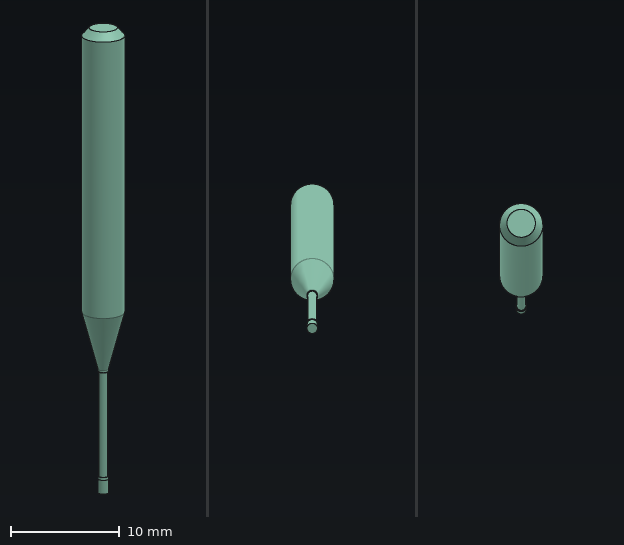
import cadquery as cq

total_length = 45.0
cutter_length = 1.35
neck_start = 1.6
neck_end = 11.75
taper_start = 11.95
taper_end = 17.5

shank_diameter = 4.0
shank_end_diameter = 2.6
cutter_diameter = 1.0
neck_diameter = 0.85

shank_chamfer_height = 0.75


def make_cutter():
    """Plain cylindrical envelope of the cutting head."""
    return cq.Workplane("XY").circle(cutter_diameter / 2).extrude(cutter_length)


def make_holder():
    """Chamfered shank, taper and relieved neck, revolved about the tool axis."""
    shank_radius = shank_diameter / 2
    cutter_radius = cutter_diameter / 2
    neck_radius = neck_diameter / 2
    return (
        cq.Workplane("XZ")
        .moveTo(0, cutter_length)
        .lineTo(cutter_radius, cutter_length)
        .lineTo(cutter_radius, neck_start)
        .lineTo(neck_radius, neck_start)
        .lineTo(neck_radius, neck_end)
        .lineTo(cutter_radius, neck_end)
        .lineTo(cutter_radius, taper_start)
        .lineTo(shank_radius, taper_end)
        .lineTo(shank_radius, total_length - shank_chamfer_height)
        .lineTo(shank_end_diameter / 2, total_length)
        .lineTo(0, total_length)
        .close()
        .revolve(360, (0, 0, 0), (0, 1, 0))
    )


cutter = make_cutter()
holder = make_holder()

result = cq.Compound.makeCompound([holder.val(), cutter.val()])